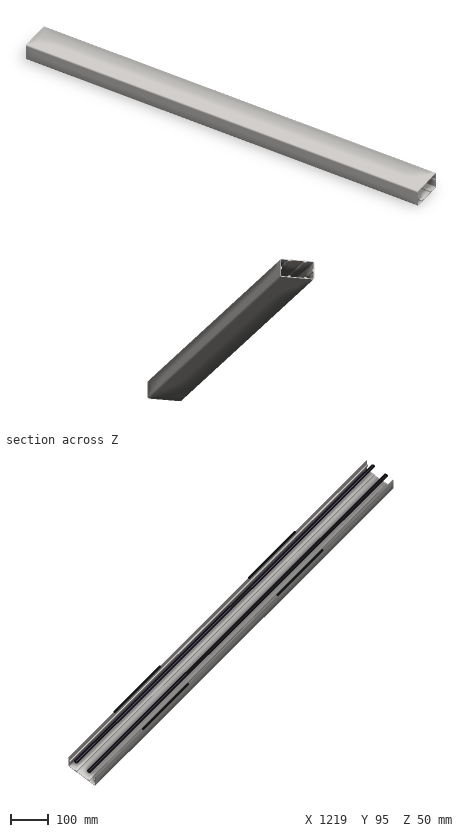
import cadquery as cq

length = 1219.0
width = 95.0
height = 50.0

wall = 2.1
corner_radius = 4.5
inner_corner_radius = corner_radius - wall

rib_base_width = 8.4
rib_tip_width = 6.8
rib_height = 2.9
rib_gap = 37.0
rib_offset = (rib_gap + rib_base_width) / 2
rib_root = wall / 2


def rounded_bar(size_y, size_z, radius):
    """Full-length bar with rounded long edges, centred on the origin."""
    return cq.Workplane("XY").box(length, size_y, size_z).edges("|X").fillet(radius)


def rib(offset, wall_distance, angle):
    """Rib standing on the floor at Y = offset, then turned about X by angle."""
    half_base = rib_base_width / 2
    half_tip = rib_tip_width / 2
    outline = [
        (-half_base, -rib_root),
        (half_base, -rib_root),
        (half_base, 0),
        (half_tip, rib_height),
        (-half_tip, rib_height),
        (-half_base, 0),
    ]
    strip = cq.Workplane("YZ").polyline(outline).close().extrude(length / 2, both=True)
    return strip.translate((0, offset, -wall_distance)).rotate((0, 0, 0), (1, 0, 0), angle)


cavity = rounded_bar(width - 2 * wall, height - 2 * wall, inner_corner_radius)
result = rounded_bar(width, height, corner_radius).cut(cavity)

for angle in (0, 180):
    for offset in (-rib_offset, rib_offset):
        result = result.union(rib(offset, height / 2 - wall, angle))

for angle in (90, -90):
    result = result.union(rib(0, width / 2 - wall, angle))